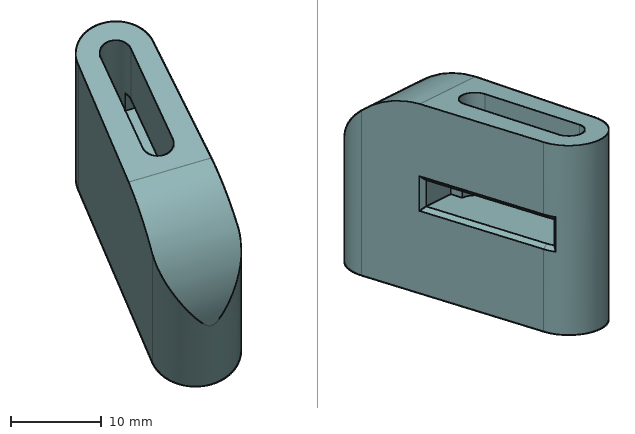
import cadquery as cq

length = 34.925
height = 22.86
narrow_radius = 4.445
wide_radius = 5.08

crown_start_x = 21.72
crown_end_z = 10.75
crown_radius = 13.7

window_start_x = 3.42
window_length = 17.78
window_height = 3.175
window_center_z = 12.05
window_chamfer = 0.508
window_bottom_z = window_center_z - window_height / 2

slot_start_x = 2.64
slot_length = 16.93
slot_width = 3.556
slot_depth = height - window_bottom_z


def make_body():
    narrow_x = narrow_radius
    wide_x = length - wide_radius
    return (
        cq.Workplane("XY")
        .moveTo(narrow_x, -narrow_radius)
        .lineTo(wide_x, -wide_radius)
        .threePointArc((length, 0), (wide_x, wide_radius))
        .lineTo(narrow_x, narrow_radius)
        .threePointArc((0, 0), (narrow_x, -narrow_radius))
        .close()
        .extrude(height)
    )


def cut_window(body):
    """Cut from the mid-plane out through the +Y side, then chamfer the outer rim."""
    center_x = window_start_x + window_length / 2
    cutter = (
        cq.Workplane("XZ", origin=(center_x, 0, window_center_z))
        .rect(window_length, window_height)
        .extrude(-wide_radius)
    )
    margin = window_chamfer / 2
    rim = cq.selectors.BoxSelector(
        (window_start_x - margin, narrow_radius / 2, window_bottom_z - margin),
        (window_start_x + window_length + margin, wide_radius, window_bottom_z + window_height + margin),
        boundingbox=True,
    )
    return body.cut(cutter).edges(rim).chamfer(window_chamfer)


def make_slot_cutter():
    return (
        cq.Workplane("XY", origin=(slot_start_x + slot_length / 2, 0, height))
        .slot2D(slot_length, slot_width)
        .extrude(-slot_depth)
    )


def make_crown_cutter():
    return (
        cq.Workplane("XZ")
        .moveTo(crown_start_x, height)
        .radiusArc((length, crown_end_z), crown_radius)
        .lineTo(length, height)
        .close()
        .extrude(wide_radius, both=True)
    )


windowed_body = cut_window(make_body())
result = windowed_body.cut(make_slot_cutter()).cut(make_crown_cutter())